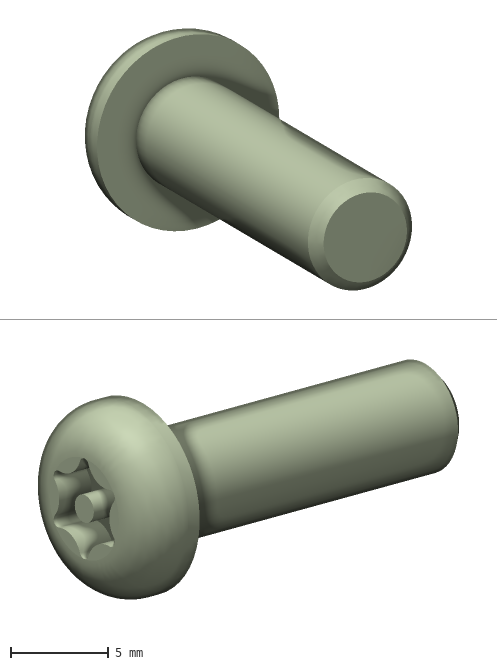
import cadquery as cq
import math

shank_diameter = 6.0
shank_length = 20.0
tip_chamfer = 0.6

head_diameter = 10.5
head_height = 3.3

lobe_count = 6
lobe_span = 5.45
flute_span = 3.95
lobe_tip_radius = 0.35
socket_depth = 2.2
pin_diameter = 1.5

shank_radius = shank_diameter / 2
head_radius = head_diameter / 2
face_radius = lobe_span / 2
dome_radius = head_radius - face_radius
lobe_pitch = 2 * math.pi / lobe_count


def polar(radius, angle):
    """Point at a radius and at an angle measured from +Y towards +Z."""
    return (radius * math.cos(angle), radius * math.sin(angle))


def make_screw_blank():
    """Head and shank, revolved about the X axis."""
    rim_start = -head_height + dome_radius
    dome_middle = (
        rim_start - dome_radius * math.cos(math.pi / 4),
        face_radius + dome_radius * math.sin(math.pi / 4),
    )
    profile = (
        cq.Workplane("XY")
        .moveTo(-head_height, 0)
        .lineTo(-head_height, face_radius)
        .threePointArc(dome_middle, (rim_start, head_radius))
        .lineTo(0, head_radius)
        .lineTo(0, shank_radius)
        .lineTo(shank_length - tip_chamfer, shank_radius)
        .lineTo(shank_length, shank_radius - tip_chamfer)
        .lineTo(shank_length, 0)
        .close()
    )
    return profile.revolve(360, (0, 0, 0), (1, 0, 0))


def make_socket():
    """Six-lobe prism, with one lobe pointing along +Z, less the central pin."""
    half_pitch = lobe_pitch / 2
    tip_center_radius = face_radius - lobe_tip_radius
    flute_bottom_radius = flute_span / 2

    cosine = math.cos(half_pitch)
    flute_radius = (
        tip_center_radius**2
        + flute_bottom_radius**2
        - 2 * tip_center_radius * flute_bottom_radius * cosine
        - lobe_tip_radius**2
    ) / (2 * (lobe_tip_radius + tip_center_radius * cosine - flute_bottom_radius))
    flute_center_radius = flute_bottom_radius + flute_radius

    share = lobe_tip_radius / (lobe_tip_radius + flute_radius)
    flute_along = flute_center_radius * cosine
    flute_across = flute_center_radius * math.sin(half_pitch)
    tangent_along = tip_center_radius + share * (flute_along - tip_center_radius)
    tangent_across = share * flute_across
    tangent_radius = math.hypot(tangent_along, tangent_across)
    tangent_angle = math.atan2(tangent_across, tangent_along)

    first_lobe = math.pi / 2
    outline = cq.Workplane("YZ", origin=(-head_height, 0, 0))
    outline = outline.moveTo(*polar(tangent_radius, first_lobe - tangent_angle))
    for index in range(lobe_count):
        lobe = first_lobe + index * lobe_pitch
        lobe_end = polar(tangent_radius, lobe + tangent_angle)
        flute_end = polar(tangent_radius, lobe + lobe_pitch - tangent_angle)
        outline = outline.threePointArc(polar(face_radius, lobe), lobe_end)
        outline = outline.threePointArc(polar(flute_bottom_radius, lobe + half_pitch), flute_end)

    pin = (
        cq.Workplane("YZ", origin=(-head_height, 0, 0))
        .circle(pin_diameter / 2)
        .extrude(socket_depth)
    )
    return outline.close().extrude(socket_depth).cut(pin)


result = make_screw_blank().cut(make_socket())